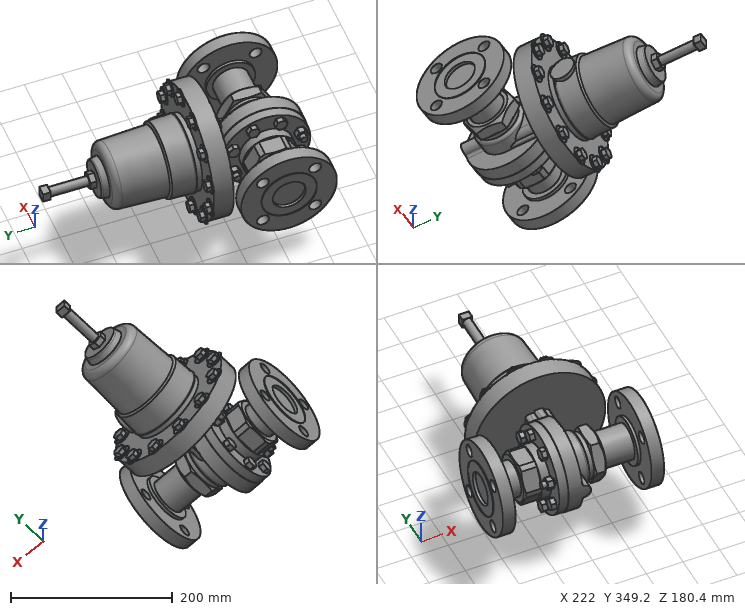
import cadquery as cq
import math


FACE_TO_FACE = 222.0
PIPE_MIDDLE_X = -0.5
FLANGE_RADIUS = 63.5
FLANGE_THICKNESS = 17.5
RAISED_FACE_RADIUS = 36.5
RAISED_FACE_HEIGHT = 1.0
HUB_RADIUS = 32.5
HUB_LENGTH = 4.2
PIPE_RADIUS = 24.0
BORE_RADIUS = 22.0
BORE_DEPTH = 4.2
FLANGE_HOLE_RADIUS = 8.0
FLANGE_HOLE_CIRCLE_RADIUS = 49.0
FLANGE_HOLE_COUNT = 4

INLET_NUT_X = -67.0
COLLAR_X = -44.0
COVER_X = -31.5
BODY_X = -19.0
CHAMBER_X = 0.5
CHAMBER_END_X = 22.5
OUTLET_NUT_X = 29.0
OUTLET_NUT_END_X = 46.5

COVER_RADIUS = 59.0
BODY_RADIUS = 59.7
CHAMBER_RADIUS = 35.5
CHAMBER_EDGE_RADIUS = 4.2
THROAT_RADIUS = 30.7
NUT_FLATS = 64.5
INLET_NUT_CORNER_RADIUS = 35.3
INLET_NUT_CHAMFER = (1.7, 4.2)
OUTLET_NUT_BACK_CHAMFER = (1.5, 5.5)
OUTLET_NUT_CHAMFER = (5.0, 7.7)

LUG_MIDDLE_X = 2.0
LUG_RADIUS = 9.8
LUG_BLEND_RADIUS = 4.2

COVER_BOLT_FLATS = 14.3
COVER_BOLT_COUNT = 8
COVER_BOLT_CIRCLE_RADIUS = 48.0
COVER_HEAD_HEIGHT = 7.0
STUD_POSITIONS = (3, 7)
STUD_RADIUS = 4.5
STUD_LENGTH = 17.8
STUD_NUT_GAP = 2.8
STUD_NUT_HEIGHT = 8.5

NECK_LEFT_X = -20.0
NECK_RIGHT_X = 14.5
NECK_BULGE_X = 18.5
NECK_HALF_WIDTH = 31.5
NECK_BULGE_HALF_WIDTH = 22.5
NECK_LEFT_ROUND_WIDTH = 6.3
NECK_LEFT_ROUND_RADIUS = 7.0
RIB_LEFT_X = -4.2
RIB_RIGHT_X = 2.0
RIB_HALF_WIDTH = 35.0

CASE_Y = 65.0
CASE_TOP_Y = 91.5
CASE_RADIUS = 89.8
CASE_BOLT_COUNT = 12
CASE_BOLT_CIRCLE_RADIUS = 81.5
CASE_PAD_RADIUS = 11.5
CASE_PAD_HEIGHT = 1.0
CASE_BOLT_FLATS = 13.5
CASE_HEAD_HEIGHT = 6.3

BONNET_FOOT = (50.5, 99.0)
LIP_BOTTOM = (52.0, 99.0)
SKIRT_BOTTOM = (51.5, 101.0)
SKIRT_TOP = (50.3, 131.3)
BARREL_BOTTOM = (46.8, 133.5)
BARREL_TOP = (44.5, 195.5)
BARREL_EDGE_RADIUS = 9.5
CAP_BOTTOM_RADIUS = 27.2
CAP_TOP = (25.5, 213.5)
CAP_END = (24.5, 215.5)
PORT_RADIUS = 17.0
PORT_Y = 113.5
PORT_END_X = 53.8

STEM_NUT_FLATS = 19.5
STEM_NUT_TOP_Y = 224.0
STEM_RADIUS = 6.3
STEM_SQUARE = 13.5
STEM_SQUARE_Y = 275.2
STEM_END_Y = 285.7


def cylinder_x(x_start, x_end, radius, y=0, z=0):
    return cq.Workplane("YZ", origin=(x_start, y, z)).circle(radius).extrude(x_end - x_start)


def cylinder_y(y_start, y_end, radius, x=0, z=0):
    return cq.Workplane("XZ", origin=(x, y_start, z)).circle(radius).extrude(y_start - y_end)


def hexagon(flats, corner_angle):
    """Corner points of a hexagon with one corner at the given angle in degrees."""
    corner_radius = flats / math.sqrt(3)
    angles = [math.radians(corner_angle + 60 * i) for i in range(6)]
    return [(corner_radius * math.cos(a), corner_radius * math.sin(a)) for a in angles]


def hex_prism_x(x_start, x_end, flats, corner_angle=0, y=0, z=0):
    plane = cq.Workplane("YZ", origin=(x_start, y, z))
    return plane.polyline(hexagon(flats, corner_angle)).close().extrude(x_end - x_start)


def hex_prism_y(y_start, y_end, flats, corner_angle=0, x=0, z=0):
    plane = cq.Workplane("XZ", origin=(x, y_start, z))
    return plane.polyline(hexagon(flats, corner_angle)).close().extrude(y_start - y_end)


def circle_points(count, radius, first_angle):
    """(angle in degrees, first coordinate, second coordinate) of evenly spaced points."""
    points = []
    for i in range(count):
        angle = first_angle + 360 / count * i
        a = math.radians(angle)
        points.append((angle, radius * math.cos(a), radius * math.sin(a)))
    return points


def pipe_end():
    """Outlet pipe with its flange, pointing to +X."""
    face_x = PIPE_MIDDLE_X + FACE_TO_FACE / 2
    flange_end_x = face_x - RAISED_FACE_HEIGHT
    flange_x = flange_end_x - FLANGE_THICKNESS
    end = cylinder_x(PIPE_MIDDLE_X, face_x, PIPE_RADIUS)
    end = end.union(cylinder_x(flange_x - HUB_LENGTH, flange_x, HUB_RADIUS))
    end = end.union(cylinder_x(flange_x, flange_end_x, FLANGE_RADIUS))
    end = end.union(cylinder_x(flange_end_x, face_x, RAISED_FACE_RADIUS))
    end = end.cut(cylinder_x(face_x - BORE_DEPTH, face_x, BORE_RADIUS))
    first_angle = 180 / FLANGE_HOLE_COUNT
    for _, y, z in circle_points(FLANGE_HOLE_COUNT, FLANGE_HOLE_CIRCLE_RADIUS, first_angle):
        end = end.cut(cylinder_x(flange_x, face_x, FLANGE_HOLE_RADIUS, y, z))
    return end


def pipe_run():
    outlet = pipe_end()
    inlet = outlet.mirror("YZ", (PIPE_MIDDLE_X, 0, 0))
    return outlet.union(inlet)


def inlet_nut():
    blank = cylinder_x(INLET_NUT_X, COLLAR_X, INLET_NUT_CORNER_RADIUS)
    blank = blank.faces("<X").chamfer(*INLET_NUT_CHAMFER)
    return blank.intersect(hex_prism_x(INLET_NUT_X, COLLAR_X, NUT_FLATS))


def outlet_nut():
    blank = cylinder_x(OUTLET_NUT_X, OUTLET_NUT_END_X, NUT_FLATS / math.sqrt(3))
    blank = blank.faces("<X").chamfer(*OUTLET_NUT_BACK_CHAMFER)
    blank = blank.faces(">X").chamfer(*OUTLET_NUT_CHAMFER)
    return blank.intersect(hex_prism_x(OUTLET_NUT_X, OUTLET_NUT_END_X, NUT_FLATS))


def body_lug():
    """Half-round lug along -Y, blended into the flat face of the body and ending on its rim."""
    blend_x = CHAMBER_X + LUG_BLEND_RADIUS
    centre_distance = LUG_RADIUS + LUG_BLEND_RADIUS
    blend_z = math.sqrt(centre_distance ** 2 - (blend_x - LUG_MIDDLE_X) ** 2)
    touch = LUG_RADIUS / centre_distance
    touch_x = LUG_MIDDLE_X + touch * (blend_x - LUG_MIDDLE_X)
    touch_z = touch * blend_z
    section = (
        cq.Workplane("XZ")
        .moveTo(BODY_X, -blend_z)
        .lineTo(CHAMBER_X, -blend_z)
        .radiusArc((touch_x, -touch_z), LUG_BLEND_RADIUS)
        .threePointArc((LUG_MIDDLE_X + LUG_RADIUS, 0), (touch_x, touch_z))
        .radiusArc((CHAMBER_X, blend_z), LUG_BLEND_RADIUS)
        .lineTo(BODY_X, blend_z)
        .close()
    )
    rim = cylinder_x(BODY_X, OUTLET_NUT_X, BODY_RADIUS)
    return section.extrude(BODY_RADIUS).intersect(rim)


def valve_body():
    chamber = cylinder_x(CHAMBER_X, CHAMBER_END_X, CHAMBER_RADIUS)
    chamber = chamber.faces(">X").edges().fillet(CHAMBER_EDGE_RADIUS)
    body = cylinder_x(COLLAR_X, COVER_X, CHAMBER_RADIUS)
    body = body.union(cylinder_x(COVER_X, BODY_X, COVER_RADIUS))
    body = body.union(cylinder_x(BODY_X, CHAMBER_X, BODY_RADIUS))
    body = body.union(chamber)
    body = body.union(cylinder_x(CHAMBER_END_X, OUTLET_NUT_X, THROAT_RADIUS))
    body = body.union(inlet_nut()).union(outlet_nut())
    return body.union(body_lug())


def add_cover_bolts(part):
    first_angle = 180 / COVER_BOLT_COUNT
    points = circle_points(COVER_BOLT_COUNT, COVER_BOLT_CIRCLE_RADIUS, first_angle)
    for i, (angle, y, z) in enumerate(points):
        if i in STUD_POSITIONS:
            nut_end_x = COVER_X - STUD_NUT_GAP
            part = part.union(cylinder_x(COVER_X - STUD_LENGTH, COVER_X, STUD_RADIUS, y, z))
            nut_x = nut_end_x - STUD_NUT_HEIGHT
            part = part.union(hex_prism_x(nut_x, nut_end_x, COVER_BOLT_FLATS, 0, y, z))
        else:
            head_x = COVER_X - COVER_HEAD_HEIGHT
            part = part.union(hex_prism_x(head_x, COVER_X, COVER_BOLT_FLATS, angle, y, z))
    return part


def neck():
    """Webbed neck from the pipe axis up to the case, symmetric about Z = 0."""
    step = RIB_HALF_WIDTH - NECK_HALF_WIDTH
    left_rise = math.sqrt(NECK_LEFT_ROUND_RADIUS ** 2 - NECK_LEFT_ROUND_WIDTH ** 2)
    left_drop = NECK_LEFT_ROUND_RADIUS - left_rise
    left_round_end_x = NECK_LEFT_X + NECK_LEFT_ROUND_WIDTH
    right_corner = NECK_HALF_WIDTH - NECK_BULGE_HALF_WIDTH
    half = (
        cq.Workplane("XZ")
        .moveTo(NECK_LEFT_X, 0)
        .lineTo(NECK_LEFT_X, NECK_HALF_WIDTH - left_drop)
        .radiusArc((left_round_end_x, NECK_HALF_WIDTH), NECK_LEFT_ROUND_RADIUS)
        .lineTo(RIB_LEFT_X - step, NECK_HALF_WIDTH)
        .radiusArc((RIB_LEFT_X, RIB_HALF_WIDTH), step)
        .lineTo(RIB_RIGHT_X, RIB_HALF_WIDTH)
        .radiusArc((RIB_RIGHT_X + step, NECK_HALF_WIDTH), step)
        .radiusArc((NECK_RIGHT_X, NECK_BULGE_HALF_WIDTH), right_corner)
        .lineTo(NECK_RIGHT_X, 0)
        .close()
        .extrude(-CASE_Y)
    )
    bulge = (
        cq.Workplane("XZ")
        .moveTo(NECK_RIGHT_X, -NECK_BULGE_HALF_WIDTH)
        .threePointArc((NECK_BULGE_X, 0), (NECK_RIGHT_X, NECK_BULGE_HALF_WIDTH))
        .close()
        .extrude(-CASE_Y)
    )
    return half.union(half.mirror("XY")).union(bulge)


def diaphragm_case():
    case = cylinder_y(CASE_Y, CASE_TOP_Y, CASE_RADIUS)
    seat_y = CASE_TOP_Y + CASE_PAD_HEIGHT
    first_angle = 180 / CASE_BOLT_COUNT
    for angle, x, z in circle_points(CASE_BOLT_COUNT, CASE_BOLT_CIRCLE_RADIUS, first_angle):
        case = case.union(cylinder_y(CASE_TOP_Y, seat_y, CASE_PAD_RADIUS, x, z))
        corner_angle = angle - first_angle
        head = hex_prism_y(seat_y, seat_y + CASE_HEAD_HEIGHT, CASE_BOLT_FLATS, corner_angle, x, z)
        case = case.union(head)
    return case


def bonnet():
    barrel_radius, barrel_y = BARREL_TOP
    shoulder_y = barrel_y + BARREL_EDGE_RADIUS
    shell = (
        cq.Workplane("XY")
        .moveTo(0, CASE_TOP_Y)
        .lineTo(BONNET_FOOT[0], CASE_TOP_Y)
        .lineTo(*BONNET_FOOT)
        .lineTo(*LIP_BOTTOM)
        .lineTo(*SKIRT_BOTTOM)
        .lineTo(*SKIRT_TOP)
        .lineTo(*BARREL_BOTTOM)
        .lineTo(*BARREL_TOP)
        .radiusArc((barrel_radius - BARREL_EDGE_RADIUS, shoulder_y), -BARREL_EDGE_RADIUS)
        .lineTo(CAP_BOTTOM_RADIUS, shoulder_y)
        .lineTo(*CAP_TOP)
        .lineTo(*CAP_END)
        .lineTo(0, CAP_END[1])
        .close()
        .revolve(360, (0, 0, 0), (0, 1, 0))
    )
    return shell.union(cylinder_x(0, PORT_END_X, PORT_RADIUS, PORT_Y))


def stem():
    nut = hex_prism_y(CAP_END[1], STEM_NUT_TOP_Y, STEM_NUT_FLATS, 90)
    rod = cylinder_y(CAP_END[1], STEM_SQUARE_Y, STEM_RADIUS)
    square = cq.Workplane("XZ", origin=(0, STEM_SQUARE_Y, 0)).rect(STEM_SQUARE, STEM_SQUARE)
    return nut.union(rod).union(square.extrude(STEM_SQUARE_Y - STEM_END_Y))


result = pipe_run().union(valve_body()).union(neck())
result = add_cover_bolts(result)
result = result.union(diaphragm_case()).union(bonnet()).union(stem())